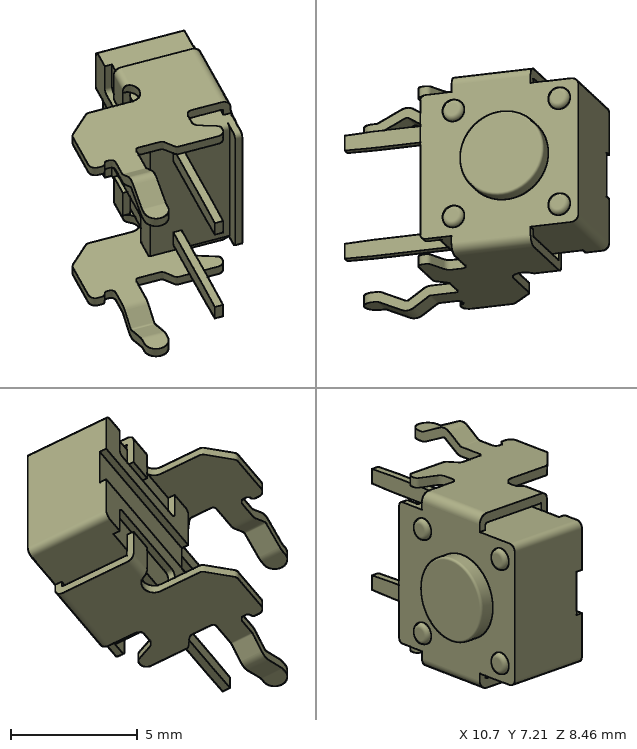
import cadquery as cq
import math


HOUSING_SIZE = 6.0
HALF = HOUSING_SIZE / 2
SHEET = 0.31
REAR_Y = 3.67
LEFT_CORNER_RADIUS = 0.3
RIGHT_CORNER_RADIUS = 0.2
RELIEF_DEPTH = 0.3
CHANNEL_TOP_Z = 0.96
CHANNEL_BOTTOM_Z = -0.87
POCKET_WIDTH = 4.0
POCKET_INNER_Z = 1.62
POCKET_CORNER_RADIUS = 0.2

COVER_RIGHT_X = 3.6

BUTTON_DIAMETER = 3.5
BUTTON_HEIGHT = 0.63
BUTTON_EDGE_RADIUS = 0.1
RIVET_DIAMETER = 0.9
RIVET_HEIGHT = 0.21
RIVET_EDGE_RADIUS = 0.19
RIVET_OFFSET = 2.21

TERMINAL_Z = 2.255
TERMINAL_WIDTH = 0.68
TERMINAL_TIP_WIDTH = 0.62
TERMINAL_FRONT_Y = 0.98
TERMINAL_THICKNESS = 0.35
TERMINAL_TAPER_X = 6.4
TERMINAL_TIP_X = 7.59

PLATE_THICKNESS = 0.41
PLATE_OUTER_Z = 3.71
PLATE_INNER_Z = PLATE_OUTER_Z - PLATE_THICKNESS
PLATE_LEFT_X = -1.0
PLATE_RIGHT_X = 4.09
FLANGE_RIGHT_X = 2.3
TAB_RIGHT_X = 0.0
TAB_END_Z = 2.08
REAR_BEND_RADIUS = 0.4
REAR_BEND_INNER_RADIUS = 0.1
FRONT_BEND_RADIUS = 0.3
NOTCH_RADIUS = 0.5
PLATE_BOTTOM_Y = -2.91
BOTTOM_BEVEL = 1.0
BEVEL_CORNER_RADIUS = 0.25
FOOT_RADIUS = 0.3
FOOT_TOP_Y = -2.31
RELIEF_X = 3.86
RELIEF_LOWER_Y = -2.27
RELIEF_RADIUS = 0.2
SHOULDER_X = 3.58
SHOULDER_Y = 0.3
FINGER_BOTTOM_Y = 0.7
FINGER_TOP_Y = 2.76
FINGER_RADIUS = 0.3
FINGER_TIP_X = 3.58
FINGER_ROOT_X = 3.14
GAP_BOTTOM_Y = 1.77
GAP_RADIUS = 0.25
SMALL_RADIUS = 0.15
MEDIUM_RADIUS = 0.2

PIN_CENTRE_Y = -1.35
PIN_WIDTH = 1.0
PIN_TIP_X = 7.7
TANGENT_GAP = 0.001
BUMP_START_X = 4.8
BUMP_END_X = 6.99
BUMP_RISE_ANGLE = math.radians(33)
BUMP_FALL_ANGLE = math.radians(25)
BUMP_OUTER_RADIUS = 0.53
BUMP_INNER_RADIUS = 0.12

EDGE_SEARCH_REACH = 0.05


def box(x_range, y_range, z_range):
    """Box from the (low, high) limits along each axis."""
    ranges = (x_range, y_range, z_range)
    sizes = [high - low for low, high in ranges]
    corner = tuple(low for low, high in ranges)
    return cq.Workplane("XY").box(*sizes, centered=False).translate(corner)


def mirrored_in_z(solid):
    return solid.union(solid.mirror("XY"))


def rounded_outline(workplane, corners):
    """Closed outline through (u, v, radius) corners; radius 0 leaves a corner sharp."""
    stretches = []
    for index, (u, v, radius) in enumerate(corners):
        corner = cq.Vector(u, v)
        if radius == 0:
            stretches.append((corner,))
            continue
        before = cq.Vector(*corners[index - 1][:2])
        after = cq.Vector(*corners[(index + 1) % len(corners)][:2])
        back = (before - corner).normalized()
        ahead = (after - corner).normalized()
        half_angle = back.getAngle(ahead) / 2
        setback = radius / math.tan(half_angle)
        arc_distance = radius / math.sin(half_angle) - radius
        middle = corner + (back + ahead).normalized() * arc_distance
        stretches.append((corner + back * setback, middle, corner + ahead * setback))

    outline = workplane.moveTo(*stretches[0][-1].toTuple()[:2])
    for stretch in stretches[1:] + stretches[:1]:
        start = stretch[0].toTuple()[:2]
        outline = outline.lineTo(*start)
        if len(stretch) > 1:
            outline = outline.threePointArc(stretch[1].toTuple()[:2], stretch[2].toTuple()[:2])
    return outline.close()


def housing():
    body = box((-HALF, HALF), (0, REAR_Y), (-HALF, HALF))
    body = body.edges("|Y and <X").fillet(LEFT_CORNER_RADIUS)
    body = body.edges("|Y and >X").fillet(RIGHT_CORNER_RADIUS)

    channel = box((-HALF, HALF), (0, RELIEF_DEPTH), (CHANNEL_BOTTOM_Z, CHANNEL_TOP_Z))
    half_pocket = POCKET_WIDTH / 2
    pocket = box((-half_pocket, half_pocket), (0, RELIEF_DEPTH), (POCKET_INNER_Z, HALF))
    pocket = pocket.edges("|Y and <Z").fillet(POCKET_CORNER_RADIUS)
    return body.cut(channel).cut(mirrored_in_z(pocket))


def cover():
    sheet = box((0, COVER_RIGHT_X), (REAR_Y - SHEET, REAR_Y), (-HALF, HALF))
    return sheet.edges("|Y and >X").fillet(RIGHT_CORNER_RADIUS)


def rear_knob(x, z, diameter, height, edge_radius):
    """Round knob standing on the rear face."""
    rear_plane = cq.Workplane("XZ", origin=(x, REAR_Y, z))
    return rear_plane.circle(diameter / 2).extrude(-height).faces(">Y").edges().fillet(edge_radius)


def button_and_rivets():
    knobs = rear_knob(0, 0, BUTTON_DIAMETER, BUTTON_HEIGHT, BUTTON_EDGE_RADIUS)
    for x in (-RIVET_OFFSET, RIVET_OFFSET):
        for z in (-RIVET_OFFSET, RIVET_OFFSET):
            knobs = knobs.union(rear_knob(x, z, RIVET_DIAMETER, RIVET_HEIGHT, RIVET_EDGE_RADIUS))
    return knobs


def terminal():
    """Flat contact leg with a slightly tapered tip, rooted inside the housing."""
    half_width = TERMINAL_WIDTH / 2
    half_tip = TERMINAL_TIP_WIDTH / 2
    root_x = HALF - RIGHT_CORNER_RADIUS
    return (
        cq.Workplane("XZ", origin=(0, TERMINAL_FRONT_Y, TERMINAL_Z))
        .moveTo(root_x, -half_width)
        .lineTo(TERMINAL_TAPER_X, -half_width)
        .lineTo(TERMINAL_TIP_X, -half_tip)
        .lineTo(TERMINAL_TIP_X, half_tip)
        .lineTo(TERMINAL_TAPER_X, half_width)
        .lineTo(root_x, half_width)
        .close()
        .extrude(-TERMINAL_THICKNESS)
    )


def plate_silhouette():
    """Side plate and pin outline, as a prism standing along Z."""
    pin_top_y = PIN_CENTRE_Y + PIN_WIDTH / 2
    pin_bottom_y = PIN_CENTRE_Y - PIN_WIDTH / 2
    pin_end_radius = PIN_WIDTH / 2 - TANGENT_GAP
    neck_x = TAB_RIGHT_X + 2 * NOTCH_RADIUS
    corners = [
        (PLATE_LEFT_X, REAR_Y, 0),
        (PLATE_LEFT_X, 0, 0),
        (neck_x, 0, 0),
        (neck_x, PLATE_BOTTOM_Y + BOTTOM_BEVEL, BEVEL_CORNER_RADIUS),
        (neck_x + BOTTOM_BEVEL, PLATE_BOTTOM_Y, BEVEL_CORNER_RADIUS),
        (PLATE_RIGHT_X, PLATE_BOTTOM_Y, FOOT_RADIUS),
        (PLATE_RIGHT_X, FOOT_TOP_Y, SMALL_RADIUS),
        (RELIEF_X, RELIEF_LOWER_Y, SMALL_RADIUS),
        (RELIEF_X, pin_bottom_y, RELIEF_RADIUS),
        (PIN_TIP_X, pin_bottom_y, pin_end_radius),
        (PIN_TIP_X, pin_top_y, pin_end_radius),
        (SHOULDER_X, pin_top_y, SMALL_RADIUS),
        (SHOULDER_X, SHOULDER_Y, MEDIUM_RADIUS),
        (PLATE_RIGHT_X, FINGER_BOTTOM_Y, MEDIUM_RADIUS),
        (PLATE_RIGHT_X, FINGER_TOP_Y, FINGER_RADIUS),
        (FINGER_TIP_X, FINGER_TOP_Y, MEDIUM_RADIUS),
        (FINGER_ROOT_X, GAP_BOTTOM_Y, FINGER_RADIUS),
        (FLANGE_RIGHT_X, GAP_BOTTOM_Y, GAP_RADIUS),
        (FLANGE_RIGHT_X, REAR_Y, 0),
    ]
    prism = rounded_outline(cq.Workplane("XY"), corners).extrude(2 * PLATE_OUTER_Z)
    notch = (
        cq.Workplane("XY")
        .center(TAB_RIGHT_X + NOTCH_RADIUS, 0)
        .circle(NOTCH_RADIUS)
        .extrude(2 * PLATE_OUTER_Z)
    )
    return prism.cut(notch)


def bumped_strip():
    """Sheet of plate thickness with the snap bump, as wide in Y as the plate."""
    rise = math.tan(BUMP_RISE_ANGLE)
    fall = math.tan(BUMP_FALL_ANGLE)
    apex_x = (rise * BUMP_START_X + fall * BUMP_END_X) / (rise + fall)
    apex_z = PLATE_OUTER_Z + rise * (apex_x - BUMP_START_X)

    start_shift = PLATE_THICKNESS * math.tan(BUMP_RISE_ANGLE / 2)
    end_shift = PLATE_THICKNESS * math.tan(BUMP_FALL_ANGLE / 2)
    apex_shift = PLATE_THICKNESS / math.cos((BUMP_RISE_ANGLE + BUMP_FALL_ANGLE) / 2)
    apex_tilt = (BUMP_RISE_ANGLE - BUMP_FALL_ANGLE) / 2
    inner_apex_x = apex_x + apex_shift * math.sin(apex_tilt)
    inner_apex_z = apex_z - apex_shift * math.cos(apex_tilt)

    corners = [
        (PLATE_LEFT_X, PLATE_OUTER_Z, 0),
        (BUMP_START_X, PLATE_OUTER_Z, BUMP_INNER_RADIUS),
        (apex_x, apex_z, BUMP_OUTER_RADIUS),
        (BUMP_END_X, PLATE_OUTER_Z, BUMP_INNER_RADIUS),
        (PIN_TIP_X, PLATE_OUTER_Z, 0),
        (PIN_TIP_X, PLATE_INNER_Z, 0),
        (BUMP_END_X - end_shift, PLATE_INNER_Z, BUMP_OUTER_RADIUS),
        (inner_apex_x, inner_apex_z, BUMP_INNER_RADIUS),
        (BUMP_START_X + start_shift, PLATE_INNER_Z, BUMP_OUTER_RADIUS),
        (PLATE_LEFT_X, PLATE_INNER_Z, 0),
    ]
    profile = rounded_outline(cq.Workplane("XZ", origin=(0, PLATE_BOTTOM_Y, 0)), corners)
    return profile.extrude(PLATE_BOTTOM_Y - REAR_Y)


def bracket_side():
    """Upper half of the bracket: side plate with pin, rear flange and front tab."""
    plate = plate_silhouette().intersect(bumped_strip())
    flange = box((PLATE_LEFT_X, FLANGE_RIGHT_X), (REAR_Y - SHEET, REAR_Y), (HALF - SHEET, PLATE_OUTER_Z))
    tab = box((PLATE_LEFT_X, TAB_RIGHT_X), (0, SHEET), (TAB_END_Z, PLATE_OUTER_Z))
    side = plate.union(flange).union(tab)

    reach = EDGE_SEARCH_REACH
    rear_edge = cq.selectors.BoxSelector(
        (PLATE_LEFT_X, REAR_Y - reach, PLATE_OUTER_Z - reach),
        (FLANGE_RIGHT_X, REAR_Y + reach, PLATE_OUTER_Z + reach),
    )
    front_edge = cq.selectors.BoxSelector(
        (PLATE_LEFT_X, -reach, PLATE_OUTER_Z - reach),
        (TAB_RIGHT_X - reach, reach, PLATE_OUTER_Z + reach),
    )
    inner_rear_edge = cq.selectors.BoxSelector(
        (PLATE_LEFT_X, REAR_Y - SHEET - reach, PLATE_INNER_Z - reach),
        (FLANGE_RIGHT_X, REAR_Y - SHEET + reach, PLATE_INNER_Z + reach),
    )
    side = side.edges(inner_rear_edge).fillet(REAR_BEND_INNER_RADIUS)
    side = side.edges(rear_edge).fillet(REAR_BEND_RADIUS)
    return side.edges(front_edge).fillet(FRONT_BEND_RADIUS)


result = (
    housing()
    .union(cover())
    .union(button_and_rivets())
    .union(mirrored_in_z(terminal()))
    .union(mirrored_in_z(bracket_side()))
)